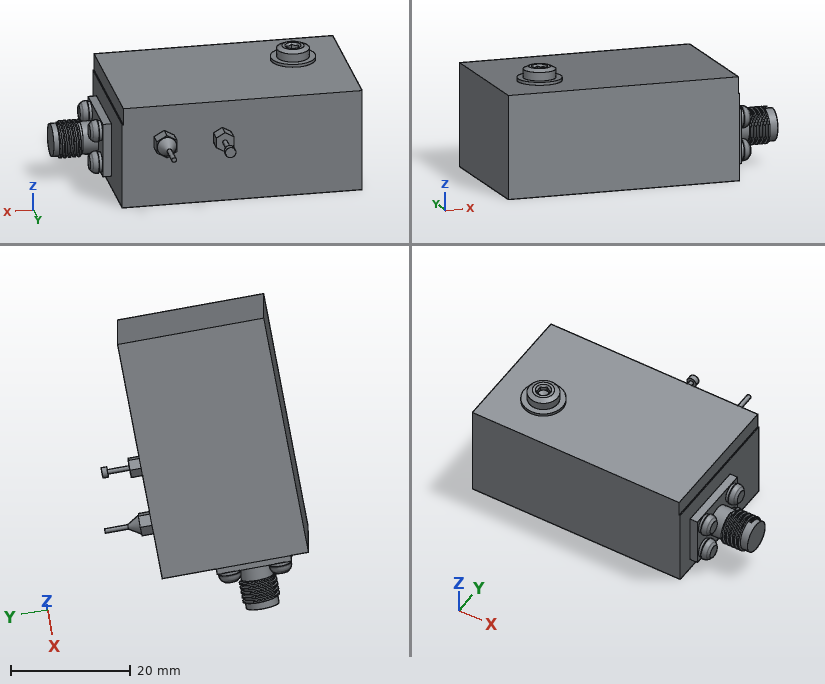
import cadquery as cq
import math

body_length = 41.05
body_width = 24.95
body_height = 17.95
lid_height = 2.9
lid_setback = 0.2

cap_x = 8.6
cap_y = 8.8
washer_radius = 3.8
washer_height = 0.5
cap_radius = 2.75
cap_height = 1.9
cap_rim_radius = 1.85
cap_bevel_height = 0.45
socket_across_flats = 1.95
socket_depth = 1.0
socket_rim_radius = 1.35
socket_point_depth = 0.6

pin_z = 11.5
pin_radius = 0.4
headed_pin_x = 23.95
headed_pin_length = 7.1
headed_hex_across_flats = 3.0
headed_hex_length = 2.35
pin_head_radius = 0.9
pin_head_length = 0.95
cone_pin_x = 33.9
cone_pin_length = 8.45
cone_hex_across_flats = 3.45
cone_hex_length = 2.4
cone_base_radius = 1.65
cone_length = 2.05

connector_y = 9.5
connector_z = 6.9
connector_end = 50.2
flange_thickness = 1.45
flange_width = 12.7
flange_height = 9.5
barrel_radius = 2.75
core_radius = 2.8
core_start = 45.2

helix_start = 45.15
thread_end = 49.25
thread_pitch = 0.8
helix_turns = 5
thread_radius = 3.15
thread_base_width = 0.65
thread_crest_width = 0.25
thread_embed = 0.15

screw_spacing_y = 8.65
screw_spacing_z = 5.65
screw_neck_radius = 1.7
screw_neck_length = 0.55
screw_head_radius = 1.9
screw_rim_height = 0.15
screw_shoulder_radius = 1.6
screw_shoulder_height = 1.55
screw_top_radius = 1.15
screw_height = 1.95


def across_corners(across_flats):
    """Diameter of the circle through the corners of a hexagon."""
    return across_flats / math.cos(math.pi / 6)


def make_housing():
    block = cq.Workplane("XY").box(body_length, body_width, body_height, centered=False)
    setback = (
        cq.Workplane("XY")
        .box(lid_setback, body_width, lid_height, centered=False)
        .translate((body_length - lid_setback, 0, body_height - lid_height))
    )
    return block.cut(setback)


def make_cap_screw():
    """Washer and bevelled head with a countersunk hexagon socket, standing on Z = 0."""
    top = washer_height + cap_height
    head = (
        cq.Workplane("XZ")
        .moveTo(0, 0)
        .lineTo(washer_radius, 0)
        .lineTo(washer_radius, washer_height)
        .lineTo(cap_radius, washer_height)
        .lineTo(cap_radius, top - cap_bevel_height)
        .lineTo(cap_rim_radius, top)
        .lineTo(0, top)
        .close()
        .revolve(360, (0, 0), (0, 1))
    )
    hexagon = (
        cq.Workplane("XY", origin=(0, 0, top))
        .transformed(rotate=(0, 0, 90))
        .polygon(6, across_corners(socket_across_flats))
        .extrude(-socket_depth)
    )
    countersink = cq.Solid.makeCone(
        socket_rim_radius, 0, socket_rim_radius, pnt=cq.Vector(0, 0, top), dir=cq.Vector(0, 0, -1)
    )
    drill_point = cq.Solid.makeCone(
        socket_across_flats / 2,
        0,
        socket_point_depth,
        pnt=cq.Vector(0, 0, top - socket_depth),
        dir=cq.Vector(0, 0, -1),
    )
    return head.cut(hexagon).cut(countersink).cut(drill_point)


def make_hex_pin(across_flats, hex_length, pin_length):
    """Hexagon base and round pin along +Z, with two hexagon corners on the Y axis."""
    base = (
        cq.Workplane("XY")
        .transformed(rotate=(0, 0, 90))
        .polygon(6, across_corners(across_flats))
        .extrude(hex_length)
    )
    return base.union(cq.Workplane("XY").circle(pin_radius).extrude(pin_length))


def place_on_back(pin, x):
    """Turn a pin from +Z to +Y and stand it on the +Y face."""
    return pin.rotate((0, 0, 0), (1, 0, 0), -90).translate((x, body_width, pin_z))


def make_headed_pin():
    head = (
        cq.Workplane("XY", origin=(0, 0, headed_pin_length - pin_head_length))
        .circle(pin_head_radius)
        .extrude(pin_head_length)
    )
    return make_hex_pin(headed_hex_across_flats, headed_hex_length, headed_pin_length).union(head)


def make_cone_pin():
    cone = cq.Solid.makeCone(
        cone_base_radius, pin_radius, cone_length, pnt=cq.Vector(0, 0, cone_hex_length)
    )
    return make_hex_pin(cone_hex_across_flats, cone_hex_length, cone_pin_length).union(cone)


def make_thread():
    """Right-handed trapezoidal ridge winding along +Z, cut square at both ends."""
    root = core_radius - thread_embed
    path = cq.Wire.makeHelix(thread_pitch, thread_pitch * helix_turns, core_radius)
    ridge = (
        cq.Workplane("XZ")
        .moveTo(root, -thread_base_width / 2)
        .lineTo(thread_radius, -thread_crest_width / 2)
        .lineTo(thread_radius, thread_crest_width / 2)
        .lineTo(root, thread_base_width / 2)
        .close()
        .sweep(cq.Workplane(path), isFrenet=True)
        .translate((0, 0, helix_start - body_length))
    )
    threaded_stretch = (
        cq.Workplane("XY", origin=(0, 0, core_start - body_length))
        .circle(thread_radius + thread_pitch)
        .extrude(thread_end - core_start)
    )
    return ridge.intersect(threaded_stretch)


def make_flange_screw():
    """Round screw head standing on Z = 0."""
    rim_top = screw_neck_length + screw_rim_height
    return (
        cq.Workplane("XZ")
        .moveTo(0, 0)
        .lineTo(screw_neck_radius, 0)
        .lineTo(screw_neck_radius, screw_neck_length)
        .lineTo(screw_head_radius, screw_neck_length)
        .lineTo(screw_head_radius, rim_top)
        .tangentArcPoint((screw_shoulder_radius, screw_shoulder_height), relative=False)
        .lineTo(screw_top_radius, screw_height)
        .lineTo(0, screw_height)
        .close()
        .revolve(360, (0, 0), (0, 1))
    )


def make_connector():
    """Connector along +Z from its mounting face, with its upper side toward +X."""
    flange = cq.Workplane("XY").rect(flange_height, flange_width).extrude(flange_thickness)
    barrel = cq.Workplane("XY").circle(barrel_radius).extrude(core_start - body_length)
    core = (
        cq.Workplane("XY", origin=(0, 0, core_start - body_length))
        .circle(core_radius)
        .extrude(connector_end - core_start)
    )
    connector = flange.union(barrel).union(core).union(make_thread())
    for side_x in (-1, 1):
        for side_y in (-1, 1):
            position = (side_x * screw_spacing_z / 2, side_y * screw_spacing_y / 2, flange_thickness)
            connector = connector.union(make_flange_screw().translate(position))
    return connector


def place_on_end(connector):
    """Turn the connector from +Z to +X, with its upper side toward +Z."""
    turned = connector.rotate((0, 0, 0), (0, 0, 1), 180).rotate((0, 0, 0), (0, 1, 0), 90)
    return turned.translate((body_length, connector_y, connector_z))


result = (
    make_housing()
    .union(make_cap_screw().translate((cap_x, cap_y, body_height)))
    .union(place_on_back(make_headed_pin(), headed_pin_x))
    .union(place_on_back(make_cone_pin(), cone_pin_x))
    .union(place_on_end(make_connector()))
)